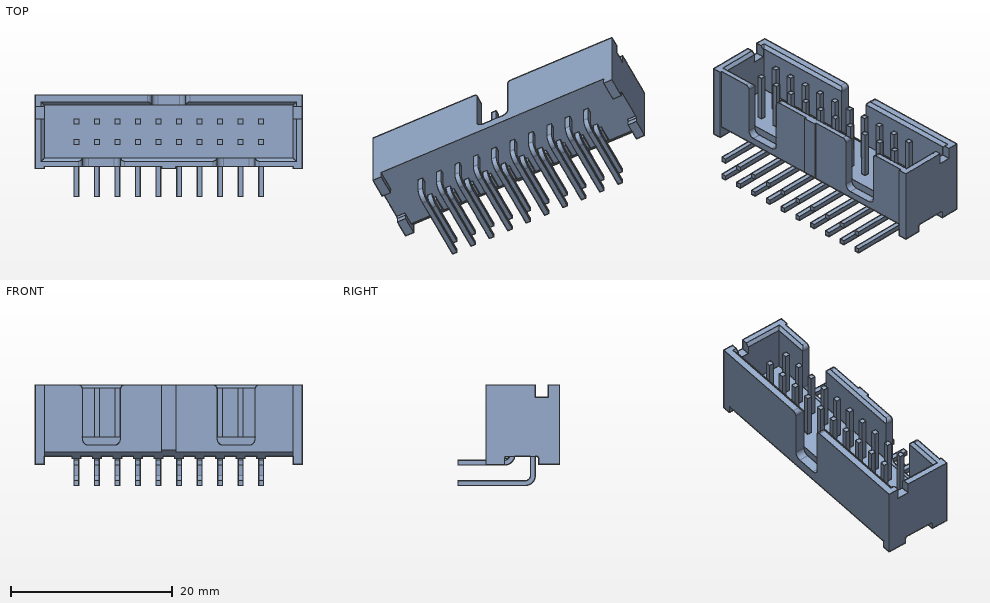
import cadquery as cq


PITCH = 2.54
COLUMNS = 10
PIN = 0.62
PIN_TOP_GAP = 0.38
BEND_INNER_RADIUS = 0.66
BEND_OUTER_RADIUS = BEND_INNER_RADIUS + PIN

LENGTH = 33.02
TOTAL_DEPTH = 12.57
TOTAL_HEIGHT = 12.45
HOUSING_DEPTH = 9.1
RELIEF = 0.25
BODY_HEIGHT = 8.82
LEG_HEIGHT = 1.0

END_WALL = 1.14
BACK_WALL = 1.27
BACK_ROW_SETBACK = 3.29
FRONT_WALL = 1.05
CAVITY_DEPTH = 6.45
MOUTH_CHAMFER = 0.4

OPENING_DEPTH = 7.45
OPENING_FLOOR_RADIUS = 0.77
OPENING_LIP_RADIUS = 0.52
FRONT_OPENING_WIDTH = 4.68
FRONT_OPENING_OFFSET = 8.33
BACK_OPENING_WIDTH = 4.2
END_NOTCH_SETBACK = 1.41
END_NOTCH_WIDTH = 1.57
END_NOTCH_DEPTH = 1.5

BACK_LEG_DEPTH = 2.6
FRONT_LEG_DEPTH = 2.3
LEG_ROOT_CHAMFER = 0.2
RIB_WIDTH = 1.74
UNDERSIDE_CHAMFER = 0.5
COLLAR_WIDTH = 1.12
COLLAR_DROP = 0.3

back_row_y = PITCH / 2
front_row_y = -PITCH / 2
back_y = back_row_y + BACK_ROW_SETBACK
front_y = back_y - HOUSING_DEPTH
wall_y = front_y + RELIEF
pin_end_y = back_y - TOTAL_DEPTH
top_z = BODY_HEIGHT
cavity_z = top_z - CAVITY_DEPTH
back_pin_bottom_z = top_z - TOTAL_HEIGHT
front_pin_bottom_z = back_pin_bottom_z + PITCH
inner_half = LENGTH / 2 - END_WALL
cavity_back_y = back_y - BACK_WALL
cavity_front_y = wall_y + FRONT_WALL
column_xs = [(i - (COLUMNS - 1) / 2) * PITCH for i in range(COLUMNS)]


def box(x0, x1, y0, y1, z0, z1):
    """Axis-aligned box between two corners."""
    return cq.Workplane("XY").box(x1 - x0, y1 - y0, z1 - z0, centered=False).translate((x0, y0, z0))


def side_prism(points, x_centre, width):
    """Extrude a closed (y, z) polygon along X, centred on x_centre."""
    profile = cq.Workplane("YZ", origin=(x_centre - width / 2, 0, 0)).polyline(points).close()
    return profile.extrude(width)


def end_wall(x_centre):
    """Full-depth end wall with a front and a back foot."""
    back_foot_y = back_y - BACK_LEG_DEPTH
    front_foot_y = front_y + FRONT_LEG_DEPTH
    outline = [
        (front_y, top_z),
        (back_y, top_z),
        (back_y, -LEG_HEIGHT),
        (back_foot_y, -LEG_HEIGHT),
        (back_foot_y, -LEG_ROOT_CHAMFER),
        (back_foot_y - LEG_ROOT_CHAMFER, 0),
        (front_foot_y + LEG_ROOT_CHAMFER, 0),
        (front_foot_y, -LEG_ROOT_CHAMFER),
        (front_foot_y, -LEG_HEIGHT),
        (front_y, -LEG_HEIGHT),
    ]
    return side_prism(outline, x_centre, END_WALL)


def front_chamfered_block(y_front, x_centre, width):
    """Block from y_front to the back, whose lower front edge lies in the 45 degree underside slope."""
    slope_end_y = wall_y + UNDERSIDE_CHAMFER
    outline = [
        (y_front, top_z),
        (back_y, top_z),
        (back_y, 0),
        (slope_end_y, 0),
        (y_front, slope_end_y - y_front),
    ]
    return side_prism(outline, x_centre, width)


def cavity():
    """Pin cavity with a chamfered mouth."""
    pocket = box(-inner_half, inner_half, cavity_front_y, cavity_back_y, cavity_z, top_z)
    centre_y = (cavity_front_y + cavity_back_y) / 2
    mouth_length = 2 * (inner_half + MOUTH_CHAMFER)
    mouth_depth = cavity_back_y - cavity_front_y + 2 * MOUTH_CHAMFER
    mouth = (
        cq.Workplane("XY", origin=(0, centre_y, top_z))
        .rect(mouth_length, mouth_depth)
        .workplane(offset=-MOUTH_CHAMFER)
        .rect(mouth_length - 2 * MOUTH_CHAMFER, mouth_depth - 2 * MOUTH_CHAMFER)
        .loft(ruled=True)
    )
    return pocket.union(mouth)


def wall_opening(x_centre, width, y0, y1):
    """Open-topped window with a rounded floor and rounded lips, cut through a wall from y0 to y1."""
    half = width / 2
    floor_z = top_z - OPENING_DEPTH
    floor_r = OPENING_FLOOR_RADIUS
    lip_r = OPENING_LIP_RADIUS
    profile = (
        cq.Workplane("XZ", origin=(x_centre, y1, 0))
        .moveTo(-half - lip_r, top_z)
        .radiusArc((-half, top_z - lip_r), lip_r)
        .lineTo(-half, floor_z + floor_r)
        .radiusArc((-half + floor_r, floor_z), -floor_r)
        .lineTo(half - floor_r, floor_z)
        .radiusArc((half, floor_z + floor_r), -floor_r)
        .lineTo(half, top_z - lip_r)
        .radiusArc((half + lip_r, top_z), lip_r)
        .close()
    )
    return profile.extrude(y1 - y0)


def collar(x):
    """Small pad under the housing, in front of a front-row pin, with 45 degree ends."""
    back_end_y = front_row_y - PIN / 2
    slope_y = wall_y + UNDERSIDE_CHAMFER
    outline = [
        (slope_y, 0),
        (slope_y + COLLAR_DROP, -COLLAR_DROP),
        (back_end_y - COLLAR_DROP, -COLLAR_DROP),
        (back_end_y, 0),
    ]
    return side_prism(outline, x, COLLAR_WIDTH)


def pin(x, row_y, bottom_z):
    """Square pin: upright through the housing floor, then bent forward toward -Y."""
    pin_back_y = row_y + PIN / 2
    pin_front_y = row_y - PIN / 2
    pin_top_z = top_z - PIN_TOP_GAP
    bend_z = bottom_z + BEND_OUTER_RADIUS
    bend_y = pin_back_y - BEND_OUTER_RADIUS
    profile = (
        cq.Workplane("YZ", origin=(x - PIN / 2, 0, 0))
        .moveTo(pin_front_y, pin_top_z)
        .lineTo(pin_back_y, pin_top_z)
        .lineTo(pin_back_y, bend_z)
        .radiusArc((bend_y, bottom_z), BEND_OUTER_RADIUS)
        .lineTo(pin_end_y, bottom_z)
        .lineTo(pin_end_y, bottom_z + PIN)
        .lineTo(bend_y, bottom_z + PIN)
        .radiusArc((pin_front_y, bend_z), -BEND_INNER_RADIUS)
        .close()
    )
    return profile.extrude(PIN)


def housing():
    """Shroud with end walls, rib, cavity and all openings."""
    body = front_chamfered_block(wall_y, 0, 2 * inner_half)
    body = body.union(front_chamfered_block(front_y, 0, RIB_WIDTH))
    for side in (-1, 1):
        body = body.union(end_wall(side * (LENGTH - END_WALL) / 2))
    body = body.cut(cavity())
    for side in (-1, 1):
        x = side * FRONT_OPENING_OFFSET
        body = body.cut(wall_opening(x, FRONT_OPENING_WIDTH, wall_y, cavity_front_y))
    body = body.cut(wall_opening(0, BACK_OPENING_WIDTH, cavity_back_y, back_y))
    notch_back_y = back_y - END_NOTCH_SETBACK
    notch_front_y = notch_back_y - END_NOTCH_WIDTH
    half = LENGTH / 2
    return body.cut(box(-half, half, notch_front_y, notch_back_y, top_z - END_NOTCH_DEPTH, top_z))


result = housing()
for column_x in column_xs:
    result = result.union(collar(column_x))
    result = result.union(pin(column_x, front_row_y, front_pin_bottom_z))
    result = result.union(pin(column_x, back_row_y, back_pin_bottom_z))